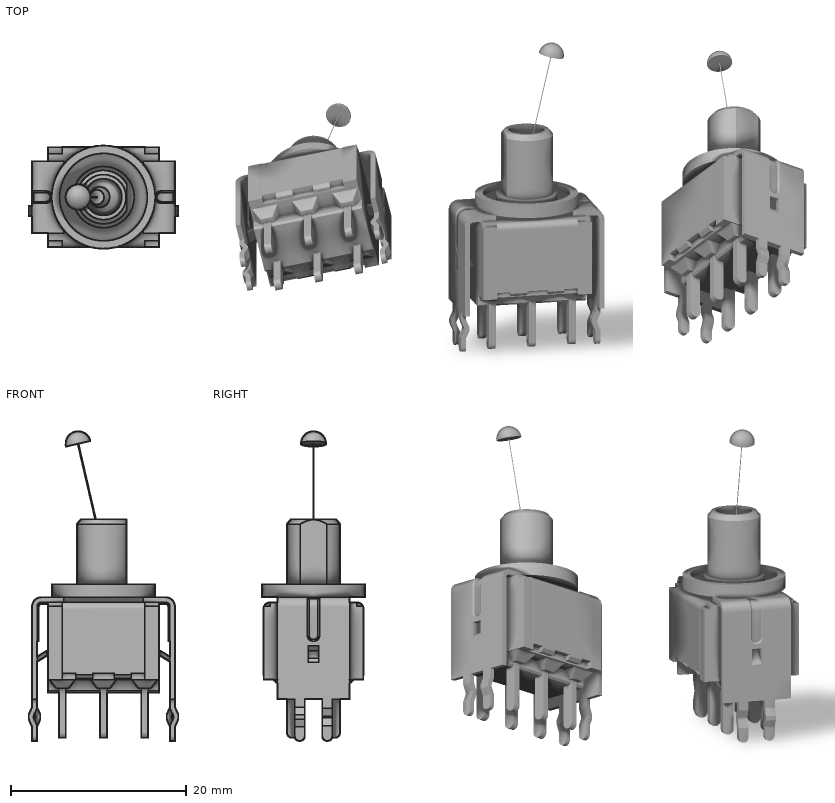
import cadquery as cq
import math


CASE_LENGTH = 12.7
CASE_WIDTH = 11.46
CASE_BOTTOM = 1.51
CASE_TOP = 10.35
FRAME_THICKNESS = 0.77
PILLAR_TOP = 9.93
PILLAR_SETBACK = 0.02
PANEL_LENGTH = 9.48
PANEL_BOTTOM = 2.26
CRIMP_LENGTH = 1.95
CRIMP_SPACING = 4.37
CRIMP_DROP = 0.56
CRIMP_CHAMFER = 0.37

BASE_WIDTH = 5.9
BASE_CHAMFER = 0.23
GUSSET_BOTTOM = 0.53
GUSSET_TOP_LENGTH = 2.94
GUSSET_BOTTOM_LENGTH = 1.43
GUSSET_REACH = 4.58

TERMINAL_PITCH = 4.7
TERMINAL_LENGTH = 0.81
TERMINAL_WIDTH = 1.3
TERMINAL_REACH = 3.05
TERMINAL_BOTTOM = -5.15

SHEET = 0.59
OVERALL_LENGTH = 17.14
BRACKET_LENGTH = 16.36
BRACKET_WIDTH = 8.23
BRACKET_TOP = CASE_TOP + SHEET
BRACKET_BOTTOM = -0.72
BEND_RADIUS = 1.09
NOTCH_LENGTH = 9.06
NOTCH_DEPTH = 0.6

GROOVE_WIDTH = 1.4
GROOVE_DEPTH = 0.2
GROOVE_TAPER = 0.19
GROOVE_END_RADIUS = 0.665
GROOVE_INNER_END = 5.9
GROOVE_BOTTOM = 5.92

LATCH_WIDTH = 1.2
LATCH_WINDOW_BOTTOM = 3.37
LATCH_WINDOW_TOP = 5.39
LATCH_BEVEL_BOTTOM = 3.52
LATCH_BEVEL_TOP = 3.95
LATCH_THICKNESS = 0.5
LATCH_ANGLE = 32.0
LATCH_TIP_X = 6.56
LATCH_TIP_Z = 4.79

BOARD_PIN_WIDTH = 1.18
BOARD_PIN_END_RADIUS = 0.578
BOARD_PIN_Y = 1.58
BOARD_PIN_BOTTOM = -5.5
KINK_MIDDLE = -2.75
CONVEX_HEIGHT = 2.23
CONVEX_FLAT = 0.51
CONCAVE_HEIGHT = 2.05
CONCAVE_FLAT = 0.2

FLANGE_DIAMETER = 11.81
FLANGE_TOP = 12.42
RECESS_DIAMETER = 10.01
RECESS_DEPTH = 0.75
COLLAR_DIAMETER = 7.01
BUSHING_DIAMETER = 6.1
BUSHING_TOP = 19.87
BUSHING_CHAMFER_HEIGHT = 0.575
BUSHING_CHAMFER_DEPTH = 0.475
BUSHING_FLAT_X = 2.64
BORE_DIAMETER = 4.2

TOP_OF_LEVER = 29.91
KNOB_RADIUS = 1.45
KNOB_X = -2.9
LEVER_TILT = 13.0
BALL_RADIUS = 2.3
NECK_BASE_DIAMETER = 2.35
NECK_DIAMETER = 1.65
NECK_TOP = 3.3
STEM_DIAMETER = 0.1


def block(x0, x1, y0, y1, z0, z1):
    """Axis-aligned block between opposite corners."""
    return cq.Workplane("XY").box(x1 - x0, y1 - y0, z1 - z0, centered=False).translate((x0, y0, z0))


def centered_block(length, width, z0, z1):
    """Block centred on the switch axis."""
    return block(-length / 2, length / 2, -width / 2, width / 2, z0, z1)


def cylinder(diameter, z0, z1):
    """Cylinder on the switch axis."""
    return cq.Workplane("XY").workplane(offset=z0).circle(diameter / 2).extrude(z1 - z0)


def extrude_along_y(outline, y0, y1):
    """Extrude a closed XZ outline from y0 to y1."""
    return outline.extrude(y0 - y1).translate((0, y0, 0))


def mirrored_pair(shape, plane):
    """The shape together with its mirror image."""
    return shape.union(shape.mirror(plane))


def case():
    """Core box with a side panel and two lower pillars on each long side."""
    edge_y = CASE_WIDTH / 2
    core_y = edge_y - FRAME_THICKNESS
    half_panel = PANEL_LENGTH / 2
    half_crimp = CRIMP_LENGTH / 2
    crimp_top = (PANEL_BOTTOM + CASE_TOP) / 2
    core = centered_block(CASE_LENGTH, 2 * core_y, CASE_BOTTOM, CASE_TOP)
    side = block(-CASE_LENGTH / 2, CASE_LENGTH / 2, PILLAR_SETBACK - edge_y, -core_y, CASE_BOTTOM, PILLAR_TOP)
    side = side.cut(block(-half_panel, half_panel, -edge_y, -core_y, CASE_BOTTOM, CASE_TOP))
    panel = block(-half_panel, half_panel, -edge_y, 0, PANEL_BOTTOM, CASE_TOP)
    panel = panel.edges("|X and <Y and >Z").fillet(FRAME_THICKNESS)
    side = side.union(panel)
    for sign in (-1, 1):
        middle = sign * CRIMP_SPACING / 2
        crimp = block(
            middle - half_crimp, middle + half_crimp,
            -edge_y, -core_y, PANEL_BOTTOM - CRIMP_DROP, crimp_top,
        )
        side = side.union(crimp.edges("|X and <Y and <Z").chamfer(CRIMP_CHAMFER))
    return core.union(mirrored_pair(side, "XZ"))


def base():
    """Narrow base below the case, chamfered along its long lower edges."""
    bottom = centered_block(CASE_LENGTH, BASE_WIDTH, 0, CASE_BOTTOM)
    return bottom.edges("|X and <Z").chamfer(BASE_CHAMFER)


def gusset():
    """Tapered block under the case over one terminal, with a 45 degree outer face."""
    height = CASE_BOTTOM - GUSSET_BOTTOM
    front = (
        cq.Workplane("XZ")
        .polyline([
            (-GUSSET_TOP_LENGTH / 2, CASE_BOTTOM),
            (GUSSET_TOP_LENGTH / 2, CASE_BOTTOM),
            (GUSSET_BOTTOM_LENGTH / 2, GUSSET_BOTTOM),
            (-GUSSET_BOTTOM_LENGTH / 2, GUSSET_BOTTOM),
        ])
        .close()
    )
    side = (
        cq.Workplane("YZ")
        .polyline([
            (0, CASE_BOTTOM),
            (-GUSSET_REACH, CASE_BOTTOM),
            (height - GUSSET_REACH, GUSSET_BOTTOM),
            (0, GUSSET_BOTTOM),
        ])
        .close()
        .extrude(GUSSET_TOP_LENGTH / 2, both=True)
    )
    return extrude_along_y(front, -GUSSET_REACH, 0).intersect(side)


def terminal():
    """Flat terminal with a fully rounded lower end."""
    radius = TERMINAL_WIDTH / 2
    middle = -TERMINAL_REACH + radius
    half = TERMINAL_LENGTH / 2
    blade = block(-half, half, -TERMINAL_REACH, middle + radius, TERMINAL_BOTTOM + radius, CASE_BOTTOM)
    tip = cq.Workplane("YZ").center(middle, TERMINAL_BOTTOM + radius).circle(radius).extrude(half, both=True)
    return blade.union(tip)


def terminals():
    """Two rows of three terminals, each with its gusset."""
    single = terminal().union(gusset())
    row = single
    for sign in (-1, 1):
        row = row.union(single.translate((sign * TERMINAL_PITCH, 0, 0)))
    return mirrored_pair(row, "XZ")


def bend_band(outer_offset, inner_offset, x_end, z_end, width):
    """Band round the -X bend of the bracket, between two depths below its outer surface."""
    def corner(depth):
        return BRACKET_LENGTH / 2 - depth, BRACKET_TOP - depth, BEND_RADIUS - depth

    outer_x, outer_z, outer_r = corner(outer_offset)
    inner_x, inner_z, inner_r = corner(inner_offset)
    turn = math.sqrt(0.5)
    bend_x = BRACKET_LENGTH / 2 - BEND_RADIUS
    bend_z = BRACKET_TOP - BEND_RADIUS
    outline = (
        cq.Workplane("XZ")
        .moveTo(-outer_x, z_end)
        .lineTo(-outer_x, bend_z)
        .threePointArc((-bend_x - turn * outer_r, bend_z + turn * outer_r), (-bend_x, outer_z))
        .lineTo(-x_end, outer_z)
        .lineTo(-x_end, inner_z)
        .lineTo(-bend_x, inner_z)
        .threePointArc((-bend_x - turn * inner_r, bend_z + turn * inner_r), (-inner_x, bend_z))
        .lineTo(-inner_x, z_end)
        .close()
    )
    return extrude_along_y(outline, -width / 2, width / 2)


def groove_band(outer_offset, inner_offset):
    """Band of the stiffening groove with rounded ends."""
    band = bend_band(outer_offset, inner_offset, GROOVE_INNER_END, GROOVE_BOTTOM, GROOVE_WIDTH)
    band = band.edges("|Z and >X").fillet(GROOVE_END_RADIUS)
    return band.edges("|X and <Z").fillet(GROOVE_END_RADIUS)


def tapered_groove():
    """Cutter for the groove, narrowing towards its floor."""
    band = groove_band(0, GROOVE_DEPTH)
    floor_point = (GROOVE_DEPTH - BRACKET_LENGTH / 2, 0, (GROOVE_BOTTOM + BRACKET_TOP) / 2)
    floor = band.faces(cq.NearestToPointSelector(floor_point))
    return floor.edges().chamfer(GROOVE_TAPER)


def latch():
    """Tongue bent inward and upward out of the -X bracket leg."""
    angle = math.radians(LATCH_ANGLE)
    outer_x = -BRACKET_LENGTH / 2
    inner_x = outer_x + SHEET
    tip_low_x = -LATCH_TIP_X + LATCH_THICKNESS * math.sin(angle)
    tip_low_z = LATCH_TIP_Z - LATCH_THICKNESS * math.cos(angle)
    bevel_x = -LATCH_TIP_X - (LATCH_TIP_Z - LATCH_BEVEL_TOP) / math.tan(angle)
    outline = (
        cq.Workplane("XZ")
        .polyline([
            (outer_x, LATCH_WINDOW_BOTTOM),
            (outer_x, LATCH_BEVEL_BOTTOM),
            (bevel_x, LATCH_BEVEL_TOP),
            (-LATCH_TIP_X, LATCH_TIP_Z),
            (tip_low_x, tip_low_z),
            (inner_x, tip_low_z - (tip_low_x - inner_x) * math.tan(angle)),
            (inner_x, LATCH_WINDOW_BOTTOM),
        ])
        .close()
    )
    return extrude_along_y(outline, -LATCH_WIDTH / 2, LATCH_WIDTH / 2)


def board_pin(y_middle, bow):
    """Kinked, round-ended pin below the -X leg; a positive bow points outward."""
    outer_x = -BRACKET_LENGTH / 2
    inner_x = outer_x + SHEET
    convex = (CONVEX_HEIGHT, CONVEX_FLAT)
    concave = (CONCAVE_HEIGHT, CONCAVE_FLAT)
    outer_height, outer_flat = convex if bow > 0 else concave
    inner_height, inner_flat = concave if bow > 0 else convex
    outline = (
        cq.Workplane("XZ")
        .polyline([
            (outer_x, BRACKET_BOTTOM),
            (outer_x, KINK_MIDDLE + outer_height / 2),
            (outer_x - bow, KINK_MIDDLE + outer_flat / 2),
            (outer_x - bow, KINK_MIDDLE - outer_flat / 2),
            (outer_x, KINK_MIDDLE - outer_height / 2),
            (outer_x, BOARD_PIN_BOTTOM),
            (inner_x, BOARD_PIN_BOTTOM),
            (inner_x, KINK_MIDDLE - inner_height / 2),
            (inner_x - bow, KINK_MIDDLE - inner_flat / 2),
            (inner_x - bow, KINK_MIDDLE + inner_flat / 2),
            (inner_x, KINK_MIDDLE + inner_height / 2),
            (inner_x, BRACKET_BOTTOM),
        ])
        .close()
    )
    half = BOARD_PIN_WIDTH / 2
    pin = extrude_along_y(outline, y_middle - half, y_middle + half)
    return pin.edges("|X and <Z").fillet(BOARD_PIN_END_RADIUS)


def bracket_half():
    """The -X half of the bracket with its groove, latch and board pins."""
    outer_x = -BRACKET_LENGTH / 2
    half = bend_band(0, SHEET, 0, BRACKET_BOTTOM, BRACKET_WIDTH)
    edge = BRACKET_WIDTH / 2
    notch = block(-NOTCH_LENGTH / 2, 0, -edge, NOTCH_DEPTH - edge, CASE_TOP, BRACKET_TOP)
    half = half.cut(mirrored_pair(notch, "XZ"))
    half = half.union(groove_band(SHEET / 2, SHEET + GROOVE_DEPTH)).cut(tapered_groove())
    half_latch = LATCH_WIDTH / 2
    window = block(
        outer_x, outer_x + SHEET, -half_latch, half_latch, LATCH_WINDOW_BOTTOM, LATCH_WINDOW_TOP
    )
    half = half.cut(window).union(latch())
    bow = (OVERALL_LENGTH - BRACKET_LENGTH) / 2
    return half.union(board_pin(-BOARD_PIN_Y, bow)).union(board_pin(BOARD_PIN_Y, -bow))


def bushing():
    """Recessed flange with a collar and a flatted, chamfered bushing."""
    recess_floor = FLANGE_TOP - RECESS_DEPTH
    flange = cylinder(FLANGE_DIAMETER, BRACKET_TOP, FLANGE_TOP)
    flange = flange.cut(cylinder(RECESS_DIAMETER, recess_floor, FLANGE_TOP))
    collar = cylinder(COLLAR_DIAMETER, CASE_TOP, FLANGE_TOP)
    barrel = cylinder(BUSHING_DIAMETER, CASE_TOP, BUSHING_TOP)
    barrel = barrel.faces(">Z").chamfer(BUSHING_CHAMFER_HEIGHT, BUSHING_CHAMFER_DEPTH)
    radius = BUSHING_DIAMETER / 2
    barrel = barrel.cut(block(BUSHING_FLAT_X, radius, -radius, radius, FLANGE_TOP, BUSHING_TOP))
    return flange.union(collar).union(barrel)


def lever(pivot_z):
    """Ball, flat-topped neck and half-ball knob, tilted about the ball centre towards -X.

    The knob stands well clear of the neck; a hairline stem joins the two into one solid.
    """
    knob_height = -KNOB_X / math.sin(math.radians(LEVER_TILT))
    dome_diagonal = KNOB_RADIUS * math.sqrt(0.5)
    neck_base_radius = NECK_BASE_DIAMETER / 2
    neck_base = math.sqrt(BALL_RADIUS ** 2 - neck_base_radius ** 2)
    profile = (
        cq.Workplane("XZ")
        .polyline([
            (0, 0),
            (neck_base_radius, neck_base),
            (NECK_DIAMETER / 2, NECK_TOP),
            (STEM_DIAMETER / 2, NECK_TOP),
            (STEM_DIAMETER / 2, knob_height),
            (KNOB_RADIUS, knob_height),
        ])
        .threePointArc(
            (dome_diagonal, knob_height + dome_diagonal),
            (0, knob_height + KNOB_RADIUS),
        )
        .close()
    )
    stick = profile.revolve(360, (0, 0, 0), (0, 1, 0)).rotate((0, 0, 0), (0, 1, 0), -LEVER_TILT)
    return stick.translate((0, 0, pivot_z))


def build():
    """The whole switch; the bore reaches down to the ball, which closes its lower end."""
    pivot_z = TOP_OF_LEVER - KNOB_RADIUS + KNOB_X / math.tan(math.radians(LEVER_TILT))
    body = case().union(base()).union(terminals())
    body = body.union(mirrored_pair(bracket_half(), "YZ")).union(bushing())
    ball = cq.Workplane("XY").sphere(BALL_RADIUS).translate((0, 0, pivot_z))
    bore = cylinder(BORE_DIAMETER, pivot_z, BUSHING_TOP).cut(ball)
    return body.cut(bore).union(lever(pivot_z))


result = build()